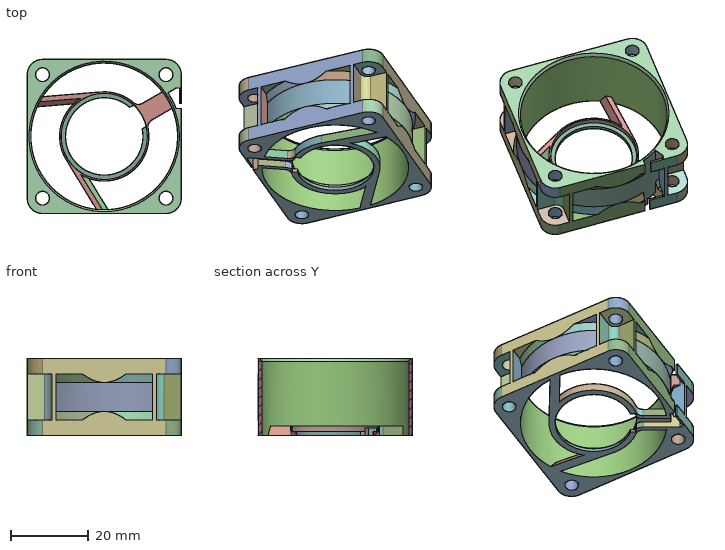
import math

import cadquery as cq

side = 40.0
height = 20.0
flange_thickness = 4.0
corner_radius = 4.0
hole_spacing = 32.0
hole_diameter = 3.5

bore_diameter = 38.0
mouth_diameter = 39.0
mouth_depth = 0.9
duct_radius = side / 2
flare_height = 2.25
flare_widening = 0.8

rib_outer_spacing = 27.0
rib_thickness = 1.0
pocket_fillet = 2.0

hub_height = 2.5
hub_outer_diameter = 23.2
hub_inner_diameter = 22.3
lip_inner_diameter = 20.0
lip_height = 1.0
lip_gap = 6.4
recess_depth = 0.1

arm_angle = 30.0
arm_width = 5.0
arm_fillet = 2.0
arm_wall = 1.0
channel_height = 2.0

strut_angles = (94.7, 211.4)
strut_top_width = 1.3
strut_base_width = 2.55

slot_bottom = 7.3
upper_tab_end = 8.85
lower_tab_end = 8.55
tab_thickness = 0.5

half_side = side / 2
bore_radius = bore_diameter / 2
hub_radius = hub_outer_diameter / 2
rib_outer = rib_outer_spacing / 2
rib_inner = rib_outer - rib_thickness
middle_height = height - 2 * flange_thickness
channel_half_width = arm_width / 2 - arm_wall
anchor_radius = (bore_radius + duct_radius) / 2


def cylinder(radius, z_start, z_end):
    return cq.Workplane("XY").workplane(offset=z_start).circle(radius).extrude(z_end - z_start)


def make_duct_body():
    """Solid of the duct between the flanges, flared where it meets them."""
    z_low = flange_thickness
    z_high = height - flange_thickness
    flare_radius = duct_radius + flare_widening
    profile = [
        (0, z_low),
        (flare_radius, z_low),
        (duct_radius, z_low + flare_height),
        (duct_radius, z_high - flare_height),
        (flare_radius, z_high),
        (0, z_high),
    ]
    return cq.Workplane("XZ").polyline(profile).close().revolve(360, (0, 0), (0, 1))


def make_side_openings():
    """Space around the duct between the ribs, on all four sides."""
    base = cq.Workplane("XY", origin=(0, 0, flange_thickness))
    along_y = base.rect(2 * rib_inner, 2 * side).extrude(middle_height)
    along_x = base.rect(2 * side, 2 * rib_inner).extrude(middle_height)
    openings = along_y.union(along_x)
    return openings.cut(make_duct_body())


def make_corner_pockets():
    """Pockets between the flanges, giving access to the corner holes."""
    pocket_size = half_side
    centre = rib_outer + pocket_size / 2
    return (
        cq.Workplane("XY", origin=(0, 0, flange_thickness))
        .rect(2 * centre, 2 * centre, forConstruction=True)
        .vertices()
        .rect(pocket_size, pocket_size)
        .extrude(middle_height)
        .edges("|Z")
        .fillet(pocket_fillet)
    )


def make_bore():
    """Through bore with a conical mouth at the top."""
    profile = [
        (0, 0),
        (bore_radius, 0),
        (bore_radius, height - mouth_depth),
        (mouth_diameter / 2, height),
        (0, height),
    ]
    return cq.Workplane("XZ").polyline(profile).close().revolve(360, (0, 0), (0, 1))


def make_frame():
    frame = cq.Workplane("XY").rect(side, side).extrude(height).edges("|Z").fillet(corner_radius)
    frame = frame.cut(make_side_openings()).cut(make_corner_pockets()).cut(make_bore())
    return (
        frame.faces(">Z")
        .workplane(origin=(0, 0, height))
        .rect(hole_spacing, hole_spacing, forConstruction=True)
        .vertices()
        .hole(hole_diameter)
    )


def make_flared_bar(half_width, flare_radius, length, bar_height):
    """Radial bar along the arm that widens towards the hub with a concave arc on each side."""
    centre_distance = hub_radius + arm_fillet
    centre_y = arm_width / 2 + arm_fillet
    centre_x = math.sqrt(centre_distance**2 - centre_y**2)
    hub_end = 1 - flare_radius / centre_distance
    foot = (centre_x * hub_end, centre_y * hub_end)
    mid_angle = (math.atan2(-centre_y, -centre_x) - math.pi / 2) / 2
    middle = (
        centre_x + flare_radius * math.cos(mid_angle),
        centre_y + flare_radius * math.sin(mid_angle),
    )
    return (
        cq.Workplane("XY")
        .moveTo(foot[0], -foot[1])
        .threePointArc((middle[0], -middle[1]), (centre_x, -half_width))
        .lineTo(length, -half_width)
        .lineTo(length, half_width)
        .lineTo(centre_x, half_width)
        .threePointArc(middle, foot)
        .close()
        .extrude(bar_height)
        .rotate((0, 0, 0), (0, 0, 1), arm_angle)
    )


def make_strut(angle):
    """Bar tangent to the hub at the given angle, running anticlockwise to the duct."""
    section = [
        (hub_radius - strut_base_width, 0),
        (hub_radius, 0),
        (hub_radius, hub_height),
        (hub_radius - strut_top_width, hub_height),
    ]
    bar = cq.Workplane("XZ").polyline(section).close().extrude(-side)
    trimmed = bar.intersect(cylinder(anchor_radius, 0, hub_height))
    return trimmed.rotate((0, 0, 0), (0, 0, 1), angle)


def make_hub_recess():
    """Shallow recess in the hub wall below the arm, which also interrupts the lip."""
    gap = (
        cq.Workplane("XY")
        .rect(side, lip_gap)
        .extrude(channel_height)
        .translate((half_side, 0, 0))
        .rotate((0, 0, 0), (0, 0, 1), arm_angle)
    )
    return gap.intersect(cylinder(hub_inner_diameter / 2 + recess_depth, 0, channel_height))


def make_cable_channel():
    """Hollow below the arm, from the hub wall out through the duct wall."""
    channel = make_flared_bar(channel_half_width, arm_fillet + arm_wall, duct_radius, channel_height)
    return channel.cut(cylinder(hub_inner_diameter / 2, 0, channel_height))


def make_cable_slot(tab_end, z_start):
    """Cut through half the frame height outside the duct; its slanted flank continues the channel wall."""
    direction = math.radians(arm_angle)
    flank_rise = channel_half_width / math.cos(direction)

    def flank_x(y):
        return (y - flank_rise) / math.tan(direction)

    tab_face = half_side - tab_thickness
    outline = [
        (flank_x(slot_bottom), slot_bottom),
        (flank_x(rib_inner), rib_inner),
        (tab_face, rib_inner),
        (tab_face, tab_end),
        (side, tab_end),
        (side, slot_bottom),
    ]
    slot = cq.Workplane("XY").polyline(outline).close().extrude(height / 2)
    return slot.cut(cylinder(duct_radius, 0, height / 2)).translate((0, 0, z_start))


spider = cylinder(hub_radius, 0, hub_height)
spider = spider.union(make_flared_bar(arm_width / 2, arm_fillet, anchor_radius, hub_height))
for strut_angle in strut_angles:
    spider = spider.union(make_strut(strut_angle))
spider = spider.cut(cylinder(hub_inner_diameter / 2, lip_height, hub_height))
spider = spider.cut(cylinder(lip_inner_diameter / 2, 0, lip_height)).cut(make_hub_recess())

result = (
    make_frame()
    .union(spider)
    .cut(make_cable_channel())
    .cut(make_cable_slot(lower_tab_end, 0))
    .cut(make_cable_slot(upper_tab_end, height / 2))
)